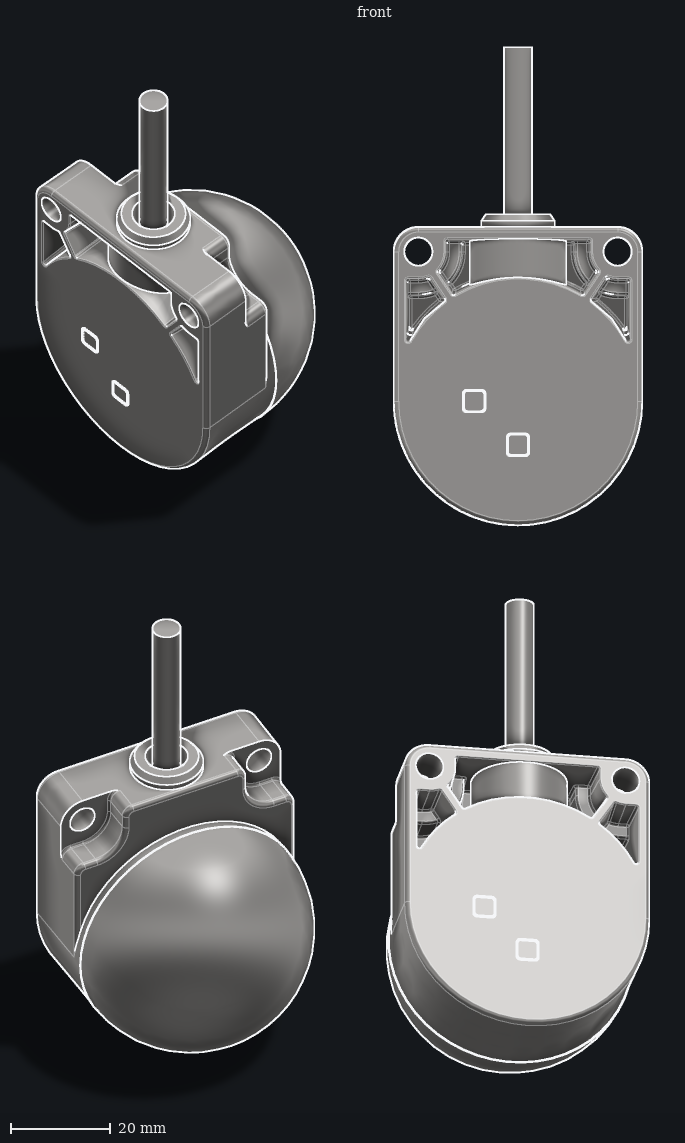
import cadquery as cq
import math

dome_radius = 25.0
dome_base_y = 19.6

block_depth = 17.6
block_top_z = 35.0
block_corner_radius = 5.0
block_draft = 0.5
block_edge_fillet = 1.0

screw_x = 20.0
screw_z = 30.0
screw_hole_diameter = 5.6

screw_seat_y = 11.1
screw_seat_reach = 6.1
screw_seat_floor_fillet = 0.5
screw_seat_flare_radius = 2.1

pocket_depth = 15.0
pocket_draft = 3.0
pocket_wall = 2.4
pocket_disc_radius = 24.8
pocket_inner_fillet = 0.5
pocket_rim_fillet = 0.25
screw_post_radius = 5.3
rib_half_width = 0.8
shelf_depth = 9.0
shelf_reach = 8.6

gland_y = 9.3
gland_radius = 7.4
gland_rise = 2.55
gland_sink = 8.0
gland_chamfer_height = 1.4
gland_chamfer_width = 0.95
gland_mouth_radius = 4.3
gland_mouth_depth = 2.5

gland_boss_y = 10.1
gland_boss_radius = 9.7

cable_radius = 2.85
cable_top_z = 71.04

window_offset = 8.8
window_size = 4.6
window_corner_radius = 0.9
window_plate_thickness = 0.3
window_rim_gap = 0.3
window_rim_gap_depth = 0.2
window_stem_radius = 1.0
window_stem_depth = 2.0

clearance = 10.0
selection_margin = 0.1

screw_radial_distance = math.hypot(screw_x, screw_z)
pocket_side_x = dome_radius - pocket_wall
pocket_top_z = block_top_z - pocket_wall
gland_bottom_z = block_top_z - gland_sink
gland_top_z = block_top_z + gland_rise


def back_plane(y=0.0):
    """Workplane parallel to the back face, local axes X and Z; negative extrusions go toward +Y."""
    return cq.Workplane("XZ", origin=(0, y, 0))


def both_sides(shape):
    return [shape, shape.mirror("YZ")]


def on_circle(radius, degrees, center=(0.0, 0.0)):
    angle = math.radians(degrees)
    return (center[0] + radius * math.cos(angle), center[1] + radius * math.sin(angle))


def edges_between(y_low, y_high, z_low=-dome_radius, z_high=block_top_z + clearance):
    """Selector for the edges centered between two depths and, if given, two heights."""
    reach = dome_radius + clearance
    return cq.selectors.BoxSelector((-reach, y_low, z_low), (reach, y_high, z_high))


def make_screw_seat():
    """Open corner recess around a screw hole: two flat walls joined by a round corner."""
    wall_x = screw_x - screw_seat_reach
    wall_z = screw_z - screw_seat_reach
    outer_x = dome_radius + clearance
    outer_z = block_top_z + clearance
    return (
        back_plane(screw_seat_y)
        .moveTo(wall_x, outer_z)
        .lineTo(wall_x, screw_z)
        .threePointArc(on_circle(screw_seat_reach, 225, (screw_x, screw_z)), (screw_x, wall_z))
        .lineTo(outer_x, wall_z)
        .lineTo(outer_x, outer_z)
        .close()
        .extrude(-block_depth)
    )


def flare_seat_mouths(block):
    """Round the upright edges where the seat walls run out through the top and the sides."""
    wall_x = screw_x - screw_seat_reach
    wall_z = screw_z - screw_seat_reach
    for mouth_x, mouth_z in [(wall_x, block_top_z), (dome_radius, wall_z)]:
        for x in (-mouth_x, mouth_x):
            mouth = cq.selectors.BoxSelector(
                (x - 0.5, screw_seat_y + selection_margin, mouth_z - 0.5),
                (x + 0.5, block_depth - selection_margin, mouth_z + 0.5),
            )
            block = block.edges(mouth).fillet(screw_seat_flare_radius)
    return block


def make_upper_block():
    """Drafted block above the dome axis, with rounded corners, screw seats and a rounded front rim."""
    corner_x = dome_radius - block_corner_radius
    corner_z = block_top_z - block_corner_radius
    block = (
        back_plane()
        .moveTo(-dome_radius, 0)
        .threePointArc((0, -dome_radius), (dome_radius, 0))
        .lineTo(dome_radius, corner_z)
        .threePointArc(on_circle(block_corner_radius, 45, (corner_x, corner_z)), (corner_x, block_top_z))
        .lineTo(-corner_x, block_top_z)
        .threePointArc(on_circle(block_corner_radius, 135, (-corner_x, corner_z)), (-dome_radius, corner_z))
        .close()
        .extrude(-block_depth, taper=block_draft)
    )
    lower_half = cq.Workplane("XY").rect(4 * dome_radius, 4 * dome_radius).extrude(-2 * dome_radius)
    block = block.cut(lower_half)
    for seat in both_sides(make_screw_seat()):
        block = block.cut(seat)
    front_rim = edges_between(
        block_depth - selection_margin, block_depth + selection_margin, z_low=selection_margin
    )
    block = flare_seat_mouths(block).edges(front_rim).fillet(block_edge_fillet)
    corner_x, corner_z = on_circle(screw_seat_reach, 225, (screw_x, screw_z))
    for x in (-corner_x, corner_x):
        floor_corner = cq.selectors.BoxSelector(
            (x - 1, screw_seat_y - selection_margin, corner_z - 1),
            (x + 1, screw_seat_y + selection_margin, corner_z + 1),
        )
        block = block.edges(floor_corner).fillet(screw_seat_floor_fillet)
    return block


def rib_edge_point(along, side):
    """Point on an edge of the rib that runs from the dome axis toward the screw (side is +1 or -1)."""
    unit_x = screw_x / screw_radial_distance
    unit_z = screw_z / screw_radial_distance
    across = side * rib_half_width
    return (along * unit_x - across * unit_z, along * unit_z + across * unit_x)


def rib_ends(side):
    """Where one rib edge meets the screw post and the disc."""
    post_along = screw_radial_distance - math.sqrt(screw_post_radius**2 - rib_half_width**2)
    disc_along = math.sqrt(pocket_disc_radius**2 - rib_half_width**2)
    return rib_edge_point(post_along, side), rib_edge_point(disc_along, side)


def make_shelf():
    """Raised floor that backs a screw seat where the pockets pass it."""
    outer_x = screw_x + clearance
    outer_z = screw_z + clearance
    return (
        back_plane(shelf_depth)
        .moveTo(screw_x - shelf_reach, outer_z)
        .lineTo(screw_x - shelf_reach, screw_z)
        .threePointArc(on_circle(shelf_reach, 225, (screw_x, screw_z)), (screw_x, screw_z - shelf_reach))
        .lineTo(outer_x, screw_z - shelf_reach)
        .lineTo(outer_x, outer_z)
        .close()
        .extrude(-pocket_depth, taper=-pocket_draft)
    )


def round_pocket(pocket):
    """Round every edge of a pocket below its mouth."""
    return pocket.edges(edges_between(selection_margin / 10, block_depth)).fillet(pocket_inner_fillet)


def make_upper_pocket():
    """Pocket between the two ribs, with the upright gland boss left standing in it."""
    post_side_x = screw_x - screw_post_radius
    post_mid = on_circle(screw_post_radius, 205, (screw_x, screw_z))
    rib_post, rib_disc = rib_ends(1)
    pocket = (
        back_plane()
        .moveTo(-post_side_x, pocket_top_z)
        .lineTo(post_side_x, pocket_top_z)
        .lineTo(post_side_x, screw_z)
        .threePointArc(post_mid, rib_post)
        .lineTo(*rib_disc)
        .threePointArc((0, pocket_disc_radius), (-rib_disc[0], rib_disc[1]))
        .lineTo(-rib_post[0], rib_post[1])
        .threePointArc((-post_mid[0], post_mid[1]), (-post_side_x, screw_z))
        .close()
        .extrude(-pocket_depth, taper=pocket_draft)
    )
    for shelf in both_sides(make_shelf()):
        pocket = pocket.cut(shelf)
    boss = (
        cq.Workplane("XY", origin=(0, gland_boss_y, 0)).circle(gland_boss_radius).extrude(block_top_z)
    )
    return round_pocket(pocket).cut(boss)


def make_lower_pocket():
    """Three-cornered pocket between a rib, the side wall and the disc."""
    post_bottom_z = screw_z - screw_post_radius
    rib_post, rib_disc = rib_ends(-1)
    tip_angle = math.degrees(math.acos(pocket_side_x / pocket_disc_radius))
    rib_angle = math.degrees(math.atan2(rib_disc[1], rib_disc[0]))
    disc_mid = on_circle(pocket_disc_radius, (tip_angle + rib_angle) / 2)
    pocket = (
        back_plane()
        .moveTo(pocket_side_x, post_bottom_z)
        .lineTo(screw_x, post_bottom_z)
        .threePointArc(on_circle(screw_post_radius, 255, (screw_x, screw_z)), rib_post)
        .lineTo(*rib_disc)
        .threePointArc(disc_mid, on_circle(pocket_disc_radius, tip_angle))
        .close()
        .extrude(-pocket_depth, taper=pocket_draft)
    )
    return round_pocket(pocket.cut(make_shelf()))


def make_rounded_square(x, z, size, corner_radius, depth):
    return (
        back_plane().center(x, z).rect(size, size).extrude(-depth).edges("|Y").fillet(corner_radius)
    )


def make_window_space(x, z):
    """Hole in the housing for a window: a shallow square seat with a round stem hole behind it."""
    plate = make_rounded_square(x, z, window_size, window_corner_radius, window_plate_thickness)
    stem = back_plane().center(x, z).circle(window_stem_radius).extrude(-window_stem_depth)
    return plate.union(stem)


def make_window(x, z):
    """Window that fills its hole except for a narrow groove around its face."""
    outer = make_rounded_square(x, z, window_size, window_corner_radius, window_rim_gap_depth)
    inner = make_rounded_square(
        x, z, window_size - 2 * window_rim_gap, window_corner_radius - window_rim_gap, window_rim_gap_depth
    )
    return make_window_space(x, z).cut(outer.cut(inner))


window_centers = [(-window_offset, 0), (0, -window_offset)]
windows = [make_window(x, z) for x, z in window_centers]


def make_gland_bore():
    return (
        cq.Workplane("XY", origin=(0, gland_y, gland_bottom_z))
        .circle(gland_radius).extrude(gland_sink + clearance)
    )


def make_housing():
    disc = back_plane().circle(dome_radius).extrude(-dome_base_y, taper=block_draft)
    housing = make_upper_block().union(disc)
    housing = housing.faces("<Y").edges().fillet(block_edge_fillet)
    housing = housing.cut(make_upper_pocket())
    for pocket in both_sides(make_lower_pocket()):
        housing = housing.cut(pocket)
    pocket_rims = cq.selectors.BoxSelector(
        (-pocket_side_x - selection_margin, -selection_margin, selection_margin),
        (pocket_side_x + selection_margin, selection_margin, pocket_top_z + selection_margin),
    )
    housing = housing.edges(pocket_rims).fillet(pocket_rim_fillet)
    screw_holes = (
        back_plane().pushPoints([(-screw_x, screw_z), (screw_x, screw_z)])
        .circle(screw_hole_diameter / 2).extrude(-block_depth)
    )
    housing = housing.cut(screw_holes).cut(make_gland_bore())
    for x, z in window_centers:
        housing = housing.cut(make_window_space(x, z))
    return housing


housing = make_housing()

dome_half_space = back_plane(dome_base_y).rect(4 * dome_radius, 4 * dome_radius).extrude(-2 * dome_radius)
dome = cq.Workplane("XZ", origin=(0, dome_base_y, 0)).sphere(dome_radius).intersect(dome_half_space)

gland = (
    cq.Workplane("XZ", origin=(0, gland_y, 0))
    .moveTo(cable_radius, gland_bottom_z)
    .lineTo(gland_radius, gland_bottom_z)
    .lineTo(gland_radius, gland_top_z - gland_chamfer_height)
    .lineTo(gland_radius - gland_chamfer_width, gland_top_z)
    .lineTo(gland_mouth_radius, gland_top_z)
    .lineTo(cable_radius, gland_top_z - gland_mouth_depth)
    .close()
    .revolve(360, (0, 0, 0), (0, 1, 0))
)

cable = (
    cq.Workplane("XY", origin=(0, gland_y, gland_bottom_z))
    .circle(cable_radius).extrude(cable_top_z - gland_bottom_z)
)

result = cq.Compound.makeCompound(
    [housing.val(), dome.val(), gland.val(), cable.val(), *[window.val() for window in windows]]
)